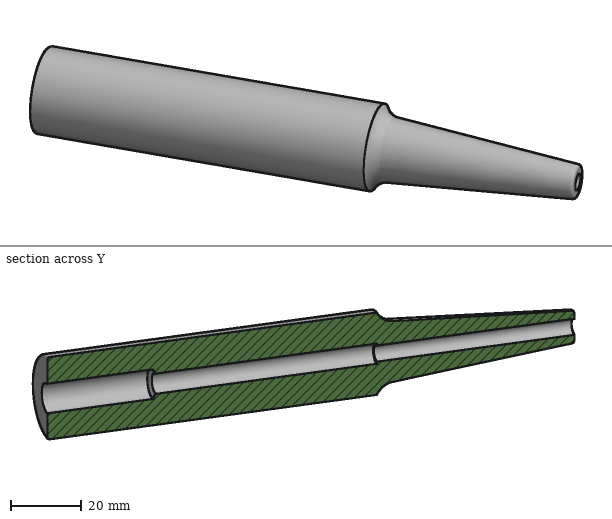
import cadquery as cq
import math

total_length = 160.0
body_diameter = 25.5
body_length = 100.0
body_end_radius = 1.0

nose_root_diameter = 19.0
nose_tip_diameter = 10.0
shoulder_length = 3.8
shoulder_radius = 6.4
tip_end_radius = 1.0

entry_diameter = 9.0
entry_depth = 32.0
drill_point_angle = 118.0
pilot_diameter = 6.0
pilot_end = body_length
outlet_diameter = 4.8

body_radius = body_diameter / 2
nose_root_radius = nose_root_diameter / 2
nose_tip_radius = nose_tip_diameter / 2
shoulder_end = body_length + shoulder_length


def make_blank():
    """Revolved body and nose, joined by a concave shoulder arc."""
    blank = (
        cq.Workplane("XY")
        .moveTo(0, 0)
        .lineTo(total_length, 0)
        .lineTo(total_length, nose_tip_radius)
        .lineTo(shoulder_end, nose_root_radius)
        .radiusArc((body_length, body_radius), shoulder_radius)
        .lineTo(0, body_radius)
        .close()
        .revolve(360, (0, 0, 0), (1, 0, 0))
    )
    blank = blank.faces("<X").edges().fillet(body_end_radius)
    return blank.faces(">X").edges().fillet(tip_end_radius)


def make_hole():
    """Stepped axial hole that narrows from the body end to the tip."""
    entry_radius = entry_diameter / 2
    pilot_radius = pilot_diameter / 2
    outlet_radius = outlet_diameter / 2
    floor_depth = (entry_radius - pilot_radius) / math.tan(math.radians(drill_point_angle / 2))
    profile = [
        (0, 0),
        (0, entry_radius),
        (entry_depth, entry_radius),
        (entry_depth + floor_depth, pilot_radius),
        (pilot_end, pilot_radius),
        (pilot_end, outlet_radius),
        (total_length, outlet_radius),
        (total_length, 0),
    ]
    return cq.Workplane("XY").polyline(profile).close().revolve(360, (0, 0, 0), (1, 0, 0))


result = make_blank().cut(make_hole()).translate((-total_length / 2, 0, 0))